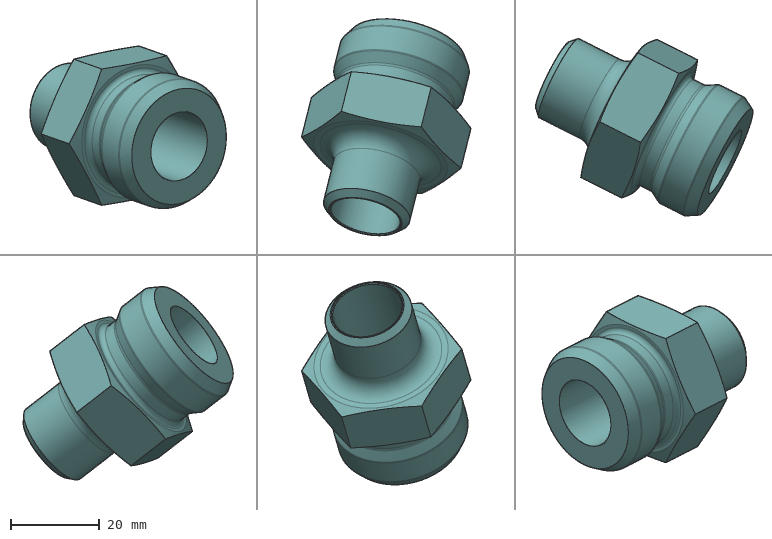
import cadquery as cq
import math

total_length = 44.0
hex_start = 16.0
hex_length = 12.0
hex_end = hex_start + hex_length

stub_diameter = 20.0
stub_chamfer = 1.5
stub_blend_radius = 4.0

hex_across_flats = 32.0
hex_chamfer_diameter = 30.95
hex_chamfer_angle = math.radians(15)
corner_clearance = 0.45

groove_diameter = 26.9
groove_blend_radius = 1.2
groove_exit_radius = 1.1
collar_diameter = 30.0
collar_start = 34.85
collar_edge_radius = 0.55
cone_slope_angle = math.radians(30)

bore_diameter = 16.0
bore_chamfer = 0.2

stub_radius = stub_diameter / 2
groove_radius = groove_diameter / 2
collar_radius = collar_diameter / 2
arc_offset = math.sqrt(0.5)
cone_height = collar_radius - groove_radius
edge_tolerance = 0.005
cone_length = cone_height / math.tan(cone_slope_angle)


def revolve_about_x(profile):
    return profile.close().revolve(360, (0, 0, 0), (1, 0, 0))


def round_edge(body, x, diameter, fillet_radius):
    """Round the circular edge of the given diameter that lies at x."""
    edges = body.edges("%CIRCLE").filter(
        lambda edge: abs(edge.Center().x - x) < edge_tolerance
        and abs(edge.radius() - diameter / 2) < edge_tolerance
    )
    return edges.fillet(fillet_radius)


def make_stub():
    """Chamfered tube with a concave quarter-round flare up to the hexagon."""
    blend_start = hex_start - stub_blend_radius
    blend_center_radius = stub_radius + stub_blend_radius
    return revolve_about_x(
        cq.Workplane("XY")
        .moveTo(0, 0)
        .lineTo(0, stub_radius - stub_chamfer)
        .lineTo(stub_chamfer, stub_radius)
        .lineTo(blend_start, stub_radius)
        .threePointArc(
            (
                blend_start + stub_blend_radius * arc_offset,
                blend_center_radius - stub_blend_radius * arc_offset,
            ),
            (hex_start, blend_center_radius),
        )
        .lineTo(hex_start, 0)
    )


def make_hexagon():
    """Hexagonal prism with its corners turned conical at both ends."""
    corner_diameter = hex_across_flats / math.cos(math.radians(30))
    prism = (
        cq.Workplane("YZ")
        .workplane(offset=hex_start)
        .polygon(6, corner_diameter)
        .extrude(hex_length)
    )
    face_radius = hex_chamfer_diameter / 2
    rim_radius = corner_diameter / 2 + corner_clearance
    chamfer_depth = (rim_radius - face_radius) * math.tan(hex_chamfer_angle)
    turned_blank = revolve_about_x(
        cq.Workplane("XY")
        .moveTo(hex_start, 0)
        .lineTo(hex_start, face_radius)
        .lineTo(hex_start + chamfer_depth, rim_radius)
        .lineTo(hex_end - chamfer_depth, rim_radius)
        .lineTo(hex_end, face_radius)
        .lineTo(hex_end, 0)
    )
    return prism.intersect(turned_blank)


def make_collar():
    """Grooved neck opening through a cone into a collar with a tapered end."""
    blend_end = hex_end + groove_blend_radius
    blend_center_radius = groove_radius + groove_blend_radius
    collar = revolve_about_x(
        cq.Workplane("XY")
        .moveTo(hex_end, 0)
        .lineTo(hex_end, blend_center_radius)
        .threePointArc(
            (
                blend_end - groove_blend_radius * arc_offset,
                blend_center_radius - groove_blend_radius * arc_offset,
            ),
            (blend_end, groove_radius),
        )
        .lineTo(collar_start - cone_length, groove_radius)
        .lineTo(collar_start, collar_radius)
        .lineTo(total_length - cone_length, collar_radius)
        .lineTo(total_length, groove_radius)
        .lineTo(total_length, 0)
    )
    collar = round_edge(collar, collar_start - cone_length, groove_diameter, groove_exit_radius)
    collar = round_edge(collar, collar_start, collar_diameter, collar_edge_radius)
    return round_edge(collar, total_length - cone_length, collar_diameter, collar_edge_radius)


def make_bore():
    """Through hole with a small chamfer at the stub mouth."""
    bore_radius = bore_diameter / 2
    return revolve_about_x(
        cq.Workplane("XY")
        .moveTo(0, 0)
        .lineTo(0, bore_radius + bore_chamfer)
        .lineTo(bore_chamfer, bore_radius)
        .lineTo(total_length, bore_radius)
        .lineTo(total_length, 0)
    )


result = make_stub().union(make_hexagon()).union(make_collar()).cut(make_bore())